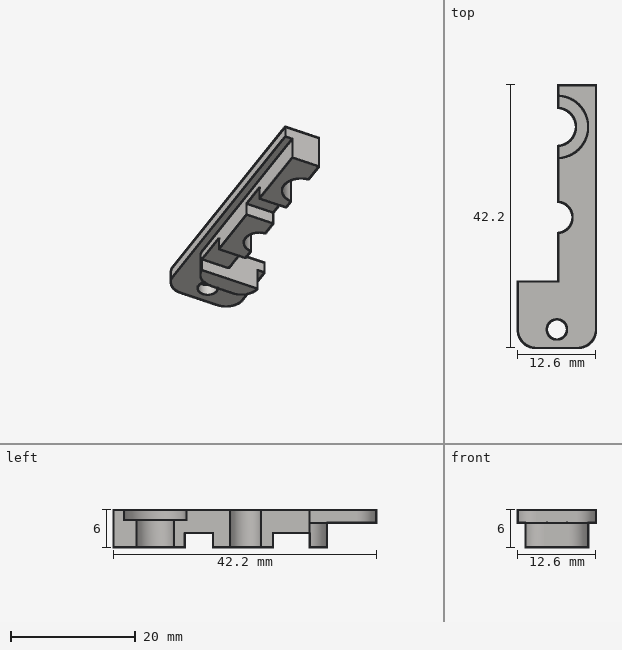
import cadquery as cq

width = 12.6
length = 42.2
height = 6.0
center_x = width / 2

plate_thickness = 2.05
corner_radius = 3.0
body_inset = 1.25
body_front_y = 7.9

foot_length = 10.7
arm_left_x = 6.5

notch_height = 2.28
notch_spans = [(foot_length, 16.6), (26.25, 30.72)]

screw_hole_diameter = 3.2
screw_hole_y = corner_radius
middle_bore_radius = 2.5
middle_bore_y = 20.97
end_bore_radius = 3.05
end_bore_y = 35.5
counterbore_radius = 5.02
counterbore_depth = 1.65


def block(x_min, x_max, y_min, y_max, z_min, z_max):
    """Box given by its limits along each axis."""
    size = (x_max - x_min, y_max - y_min, z_max - z_min)
    return cq.Workplane("XY").box(*size, centered=False).translate((x_min, y_min, z_min))


def bore(y, radius, bottom_z=0.0):
    """Vertical cylinder on the center line, from bottom_z to the top face."""
    return (
        cq.Workplane("XY", origin=(center_x, y, bottom_z))
        .circle(radius)
        .extrude(height - bottom_z)
    )


def round_front_corners(solid):
    return solid.faces("<Y").edges("|Z").fillet(corner_radius)


plate_bottom_z = height - plate_thickness
plate = round_front_corners(block(0, width, 0, length, plate_bottom_z, height))
body = round_front_corners(
    block(body_inset, width - body_inset, body_front_y, length, 0, plate_bottom_z)
)
result = plate.union(body)

result = result.cut(block(0, arm_left_x, foot_length, length, 0, height))

for notch_start, notch_end in notch_spans:
    result = result.cut(block(0, width, notch_start, notch_end, 0, notch_height))

result = result.cut(bore(screw_hole_y, screw_hole_diameter / 2))
result = result.cut(bore(middle_bore_y, middle_bore_radius))
result = result.cut(bore(end_bore_y, end_bore_radius))
result = result.cut(bore(end_bore_y, counterbore_radius, height - counterbore_depth))